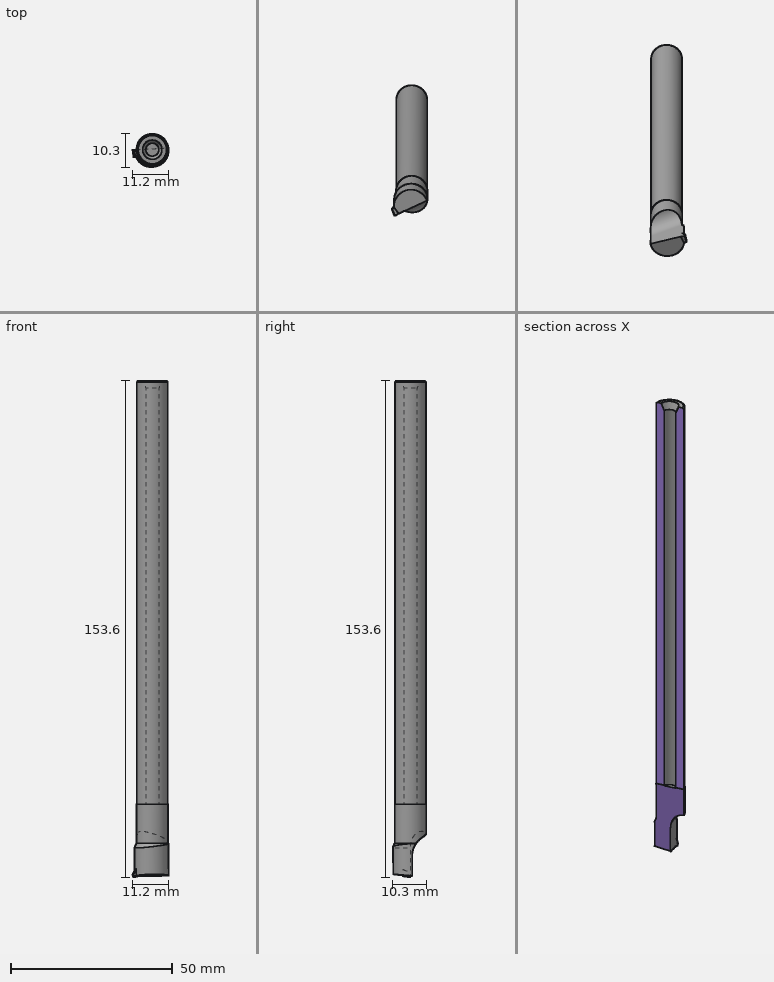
import cadquery as cq

total_length = 153.6
shank_diameter = 9.7
shank_chamfer = 0.5
joint_z = 22.6

bore_diameter = 4.0
bore_mouth_diameter = 6.0
bore_mouth_depth = 2.3

neck_radius = 4.9
collar_top_z = 10.6
collar_bottom_z = 9.2
cutting_end_radius = 5.5

ground_offset = 0.23
ground_direction = 200.0
ground_lean = 0.6
ground_start_z = 2.8
envelope_overrun = 1.5

flat_y = 0.3
runout_radius = 5.0
runout_center_z = 8.5
runout_tilt = 16.0
flat_yaw = 3.5
cutter_size = 30.7

end_face_z = 0.3
end_dish_angle = 1.2
end_relief_angle = 6.0

tooth_tip_x = -6.1
tooth_tip_z = 0.8
tooth_low_x = -5.8
tooth_root_x = -4.6
tooth_shoulder_x = -5.2
tooth_shoulder_z = 2.8
tooth_thickness = 2.3
tooth_relief_angle = 7.0


def make_shank():
    """Long round bar with a chamfered upper end and a bore with a conical mouth."""
    length = total_length - joint_z
    shank = cq.Workplane("XY").workplane(offset=joint_z).circle(shank_diameter / 2).extrude(length)
    shank = shank.faces(">Z").edges().chamfer(shank_chamfer)
    bore_radius = bore_diameter / 2
    bore = (
        cq.Workplane("XZ")
        .moveTo(0, joint_z)
        .lineTo(bore_radius, joint_z)
        .lineTo(bore_radius, total_length - bore_mouth_depth)
        .lineTo(bore_mouth_diameter / 2, total_length)
        .lineTo(0, total_length)
        .close()
        .revolve(360, (0, 0, 0), (0, 1, 0))
    )
    return shank.cut(bore)


def make_head_blank():
    """Round neck above a wider cutting end that is turned, then ground back on one side."""
    neck = (
        cq.Workplane("XY")
        .workplane(offset=collar_top_z)
        .circle(neck_radius)
        .extrude(joint_z - collar_top_z)
    )
    turned_end = (
        cq.Workplane("XZ")
        .lineTo(cutting_end_radius, 0)
        .lineTo(cutting_end_radius, collar_bottom_z)
        .lineTo(neck_radius, collar_top_z)
        .lineTo(0, collar_top_z)
        .close()
        .revolve(360, (0, 0, 0), (0, 1, 0))
    )
    return neck.union(turned_end.intersect(make_ground_envelope()))


def make_ground_envelope():
    """Eccentric cylinder, leaning slightly towards its own offset, that bounds the cutting end."""
    envelope = (
        cq.Workplane("XY")
        .workplane(offset=-envelope_overrun)
        .circle(cutting_end_radius - ground_offset)
        .extrude(collar_top_z + 2 * envelope_overrun)
    )
    pivot = (0, 0, ground_start_z)
    pivot_axis_end = (0, 1, ground_start_z)
    envelope = envelope.rotate(pivot, pivot_axis_end, ground_lean)
    envelope = envelope.translate((ground_offset, 0, 0))
    return envelope.rotate((0, 0, 0), (0, 0, 1), ground_direction)


def make_tooth():
    """Small pointed tooth at the -X corner, relieved towards -Y."""
    return (
        cq.Workplane("XZ")
        .moveTo(tooth_root_x, end_face_z)
        .lineTo(tooth_low_x, 0)
        .lineTo(tooth_tip_x, tooth_tip_z)
        .lineTo(tooth_shoulder_x, tooth_shoulder_z)
        .lineTo(tooth_root_x, tooth_shoulder_z)
        .close()
        .extrude(tooth_thickness, taper=tooth_relief_angle)
    )


def make_chip_flat_cutter():
    """Flat facing +Y that ends upwards in a quarter-round run-out."""
    cutter = (
        cq.Workplane("YZ")
        .moveTo(flat_y, -cutter_size)
        .lineTo(flat_y, runout_center_z)
        .radiusArc((flat_y + runout_radius, runout_center_z + runout_radius), runout_radius)
        .lineTo(flat_y + cutter_size, runout_center_z + runout_radius)
        .lineTo(flat_y + cutter_size, -cutter_size)
        .close()
        .extrude(cutter_size / 2, both=True)
    )
    cutter = cutter.rotate((0, 0, runout_center_z), (0, 1, runout_center_z), runout_tilt)
    return cutter.rotate((0, 0, 0), (0, 0, 1), flat_yaw)


def make_end_face_cutter():
    """Block below the sloping end face."""
    block = cq.Workplane("XY").box(cutter_size, cutter_size, cutter_size, centered=(True, True, False))
    block = block.translate((0, 0, end_face_z - cutter_size))
    corner = (tooth_low_x, 0, end_face_z)
    along_x = (tooth_low_x + 1.5, 0, end_face_z)
    along_y = (tooth_low_x, 1, end_face_z)
    return block.rotate(corner, along_x, -end_relief_angle).rotate(corner, along_y, -end_dish_angle)


def make_head():
    blank = make_head_blank().cut(make_chip_flat_cutter()).cut(make_end_face_cutter())
    return blank.union(make_tooth())


shank = make_shank()
head = make_head()
result = cq.Compound.makeCompound([shank.val(), head.val()])